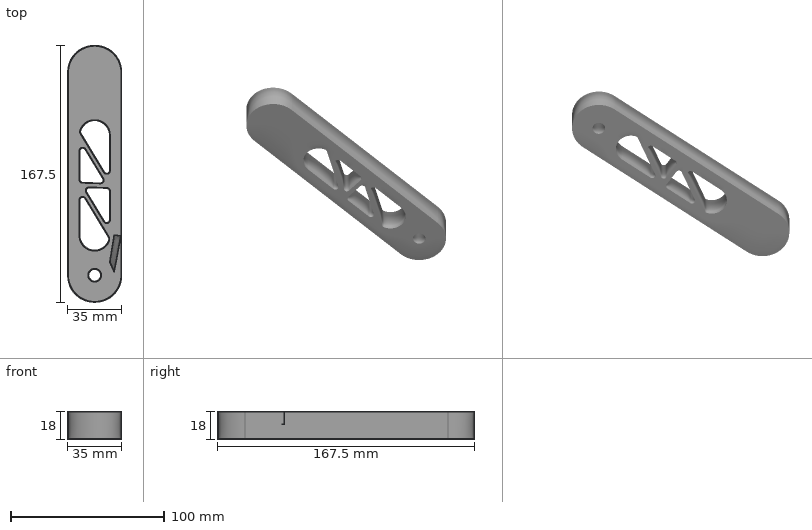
import cadquery as cq
import math

length = 167.5
width = 35.0
thickness = 18.0

hole_diameter = 8.2
hole_y = -(length - width) / 2

window_center_y = -7.5
window_half_width = 9.9
window_half_length = 42.5
cell_fillet = 2.0

brace_angle = 58.8
brace_slope = -math.tan(math.radians(brace_angle))
outer_brace_y = 18.8
inner_brace_y = 13.4
cross_rib_half_width = 1.5
cross_rib_tilt = 2.0
cross_rib_slope = -math.tan(math.radians(cross_rib_tilt))

pocket_depth = 8.4
pocket_points = [(12.7, -40.0), (17.0, -40.5), (12.7, -63.8), (9.9, -57.6)]


def outer_brace_at(x):
    return outer_brace_y + brace_slope * x


def inner_brace_at(x):
    return inner_brace_y + brace_slope * x


def cross_rib_at(x):
    return cross_rib_half_width + cross_rib_slope * x


def prism(points):
    return cq.Workplane("XY").polyline(points).close().extrude(thickness)


def outer_cell():
    """Cell between the brace, the +X window wall and the round window end."""
    left, right = -window_half_width, window_half_width
    wedge = prism([
        (right, outer_brace_at(right)),
        (right, window_half_length),
        (left, window_half_length),
        (left, outer_brace_at(left)),
    ])
    window = cq.Workplane("XY").slot2D(2 * window_half_length, 2 * window_half_width, 90).extrude(thickness)
    cell = wedge.intersect(window)
    for corner in ("<Y", "<X"):
        cell = cell.edges("|Z").edges(corner).fillet(cell_fillet)
    return cell


def inner_cell():
    """Triangular cell between the brace, the -X window wall and the cross rib."""
    left = -window_half_width
    right = (inner_brace_y - cross_rib_half_width) / (cross_rib_slope - brace_slope)
    triangle = prism([
        (left, cross_rib_at(left)),
        (right, cross_rib_at(right)),
        (left, inner_brace_at(left)),
    ])
    return triangle.edges("|Z").fillet(cell_fillet)


bar = cq.Workplane("XY").slot2D(length, width, 90).extrude(thickness)

hole = cq.Workplane("XY").center(0, hole_y).circle(hole_diameter / 2).extrude(thickness)
result = bar.cut(hole)

for turn in (0, 180):
    for cell in (outer_cell(), inner_cell()):
        placed_cell = cell.rotate((0, 0, 0), (0, 0, 1), turn).translate((0, window_center_y, 0))
        result = result.cut(placed_cell)

pocket = (
    cq.Workplane("XY", origin=(0, 0, thickness))
    .polyline(pocket_points)
    .close()
    .extrude(-pocket_depth)
)
result = result.cut(pocket)